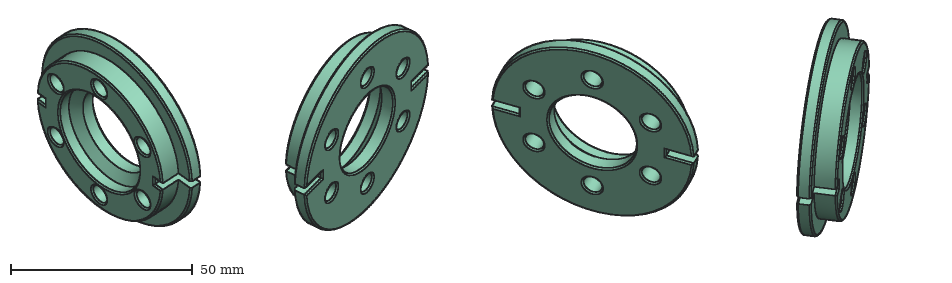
import cadquery as cq

flange_diameter = 60.1
flange_thickness = 4.0
hub_diameter = 50.1
total_depth = 10.4
edge_chamfer = 0.5

wide_bore_diameter = 32.0
narrow_bore_diameter = 26.0
wide_bore_depth = 3.7
taper_depth = 2.5

hole_count = 6
hole_diameter = 5.5
hole_circle_diameter = 40.0

slot_width = 2.4
slot_floor_radius = 21.9

hub_face_y = -total_depth / 2
rear_face_y = total_depth / 2
flange_front_y = rear_face_y - flange_thickness
taper_start_y = hub_face_y + wide_bore_depth
taper_end_y = taper_start_y + taper_depth


def make_ring():
    """Revolve the flange, hub and stepped bore, with the flange front edge chamfered."""
    profile = [
        (wide_bore_diameter / 2, hub_face_y),
        (hub_diameter / 2, hub_face_y),
        (hub_diameter / 2, flange_front_y),
        (flange_diameter / 2 - edge_chamfer, flange_front_y),
        (flange_diameter / 2, flange_front_y + edge_chamfer),
        (flange_diameter / 2, rear_face_y),
        (narrow_bore_diameter / 2, rear_face_y),
        (narrow_bore_diameter / 2, taper_end_y),
        (wide_bore_diameter / 2, taper_start_y),
    ]
    return cq.Workplane("XY").polyline(profile).close().revolve(360, (0, 0, 0), (0, 1, 0))


def make_holes():
    """Through holes evenly spaced around the axis, the first one straight up."""
    return (
        cq.Workplane("XZ")
        .polarArray(hole_circle_diameter / 2, 90, 360, hole_count)
        .circle(hole_diameter / 2)
        .extrude(total_depth, both=True)
    )


def make_slot(side):
    """Slot through the full depth at +X (side = 1) or -X (side = -1)."""
    slot_length = flange_diameter / 2
    slot_center_x = side * (slot_floor_radius + slot_length / 2)
    return cq.Workplane("XY").box(slot_length, 2 * total_depth, slot_width).translate((slot_center_x, 0, 0))


body = make_ring().cut(make_holes())
for side in (-1, 1):
    body = body.cut(make_slot(side))

result = body.faces("<Y or >Y").edges().chamfer(edge_chamfer)